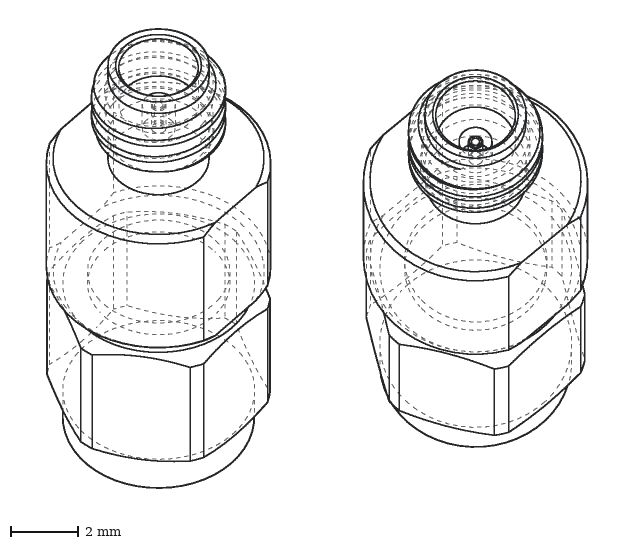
import cadquery as cq
import math

TOTAL_HEIGHT = 15.4
SLEEVE_HEIGHT = 1.4
NUT_TOP = 6.0
BODY_BOTTOM = 6.51
BODY_TOP = 11.4
THREAD_BOTTOM = 12.4
THREAD_TOP = 14.9

ACROSS_FLATS = 6.0
OUTER_RADIUS = 6.7 / 2
SLEEVE_RADIUS = 2.86
SLEEVE_EDGE_RADIUS = 0.25
NUT_CHAMFER_ANGLE = math.radians(30)

NECK_RADIUS = 2.13
BODY_CHAMFER = 0.2
STEM_RADIUS = 1.51

THREAD_RADIUS = 2.0
THREAD_PITCH = 0.7
THREAD_ROOT_RADIUS = 1.62
GROOVE_HALF_ANGLE = math.radians(30)
GROOVE_START_HEIGHT = 11.8
GROOVE_TURNS = 5
GROOVE_OVERSHOOT = 0.08

BORE_RADIUS = 1.19
BORE_DEPTH = 1.7
BORE_CHAMFER = 0.1
AIR_LINE_RADIUS = 0.5
AIR_LINE_DEPTH = 1.0
CONTACT_RADIUS = 0.22
CONTACT_HOLE_RADIUS = 0.12
CONTACT_HOLE_DEPTH = 0.77
CONTACT_CHAMFER = 0.03


def cylinder(radius, bottom, top):
    return cq.Workplane("XY").workplane(offset=bottom).circle(radius).extrude(top - bottom)


def make_coupling_nut():
    """Hexagon nut with conically chamfered corners and a round sleeve below it."""
    chamfer_height = (OUTER_RADIUS - SLEEVE_RADIUS) * math.tan(NUT_CHAMFER_ANGLE)
    envelope = (
        cq.Workplane("XZ")
        .moveTo(0, SLEEVE_HEIGHT)
        .lineTo(SLEEVE_RADIUS, SLEEVE_HEIGHT)
        .lineTo(OUTER_RADIUS, SLEEVE_HEIGHT + chamfer_height)
        .lineTo(OUTER_RADIUS, NUT_TOP - chamfer_height)
        .lineTo(SLEEVE_RADIUS, NUT_TOP)
        .lineTo(0, NUT_TOP)
        .close()
        .revolve(360, (0, 0), (0, 1))
    )
    across_corners = ACROSS_FLATS / math.cos(math.pi / 6)
    hexagon = (
        cq.Workplane("XY")
        .workplane(offset=SLEEVE_HEIGHT)
        .transformed(rotate=(0, 0, 30))
        .polygon(6, across_corners)
        .extrude(NUT_TOP - SLEEVE_HEIGHT)
    )
    sleeve = cylinder(SLEEVE_RADIUS, 0, SLEEVE_HEIGHT).faces("<Z").edges().fillet(SLEEVE_EDGE_RADIUS)
    return hexagon.intersect(envelope).union(sleeve)


def make_flatted_barrel():
    """Chamfered round barrel with two wrench flats facing +X and -X."""
    height = BODY_TOP - BODY_BOTTOM
    barrel = cylinder(OUTER_RADIUS, BODY_BOTTOM, BODY_TOP).edges("%CIRCLE").chamfer(BODY_CHAMFER)
    flats = (
        cq.Workplane("XY")
        .workplane(offset=BODY_BOTTOM)
        .rect(ACROSS_FLATS, 2 * OUTER_RADIUS)
        .extrude(height)
    )
    return barrel.intersect(flats)


def make_threaded_stem():
    """Stem carrying a thread with 45 degree ends."""
    flank = THREAD_RADIUS - STEM_RADIUS
    stem = (
        cq.Workplane("XZ")
        .moveTo(0, BODY_TOP)
        .lineTo(STEM_RADIUS, BODY_TOP)
        .lineTo(STEM_RADIUS, THREAD_BOTTOM)
        .lineTo(THREAD_RADIUS, THREAD_BOTTOM + flank)
        .lineTo(THREAD_RADIUS, THREAD_TOP - flank)
        .lineTo(STEM_RADIUS, THREAD_TOP)
        .lineTo(STEM_RADIUS, TOTAL_HEIGHT)
        .lineTo(0, TOTAL_HEIGHT)
        .close()
        .revolve(360, (0, 0), (0, 1))
        .rotate((0, 0, 0), (0, 0, 1), 180)
    )
    return stem.cut(make_thread_groove())


def make_thread_groove():
    """V-shaped cutter following a right-hand helix, reaching just past the crest."""
    mouth_radius = THREAD_RADIUS + GROOVE_OVERSHOOT
    half_mouth = (mouth_radius - THREAD_ROOT_RADIUS) * math.tan(GROOVE_HALF_ANGLE)
    helix = cq.Wire.makeHelix(
        THREAD_PITCH,
        THREAD_PITCH * GROOVE_TURNS,
        THREAD_ROOT_RADIUS,
        center=cq.Vector(0, 0, GROOVE_START_HEIGHT),
    )
    return (
        cq.Workplane("XZ")
        .moveTo(THREAD_ROOT_RADIUS, GROOVE_START_HEIGHT)
        .lineTo(mouth_radius, GROOVE_START_HEIGHT + half_mouth)
        .lineTo(mouth_radius, GROOVE_START_HEIGHT - half_mouth)
        .close()
        .sweep(cq.Workplane(obj=helix), isFrenet=True)
    )


def make_connector_body():
    """Neck, flatted barrel and threaded stem with a socket around a hollow contact."""
    bore_floor = TOTAL_HEIGHT - BORE_DEPTH
    air_line_floor = bore_floor - AIR_LINE_DEPTH
    body = (
        cylinder(NECK_RADIUS, NUT_TOP, BODY_BOTTOM)
        .union(make_flatted_barrel())
        .union(make_threaded_stem())
        .cut(cylinder(BORE_RADIUS, bore_floor, TOTAL_HEIGHT))
    )
    bore_rim = cq.selectors.RadiusNthSelector(0)
    body = body.faces(">Z").edges(bore_rim).chamfer(BORE_CHAMFER)
    contact = (
        cylinder(CONTACT_RADIUS, air_line_floor, bore_floor)
        .faces(">Z")
        .edges()
        .chamfer(CONTACT_CHAMFER)
        .cut(cylinder(CONTACT_HOLE_RADIUS, bore_floor - CONTACT_HOLE_DEPTH, bore_floor))
    )
    return body.cut(cylinder(AIR_LINE_RADIUS, air_line_floor, bore_floor)).union(contact)


coupling_nut = make_coupling_nut()
connector_body = make_connector_body()
result = cq.Compound.makeCompound([coupling_nut.val(), connector_body.val()])